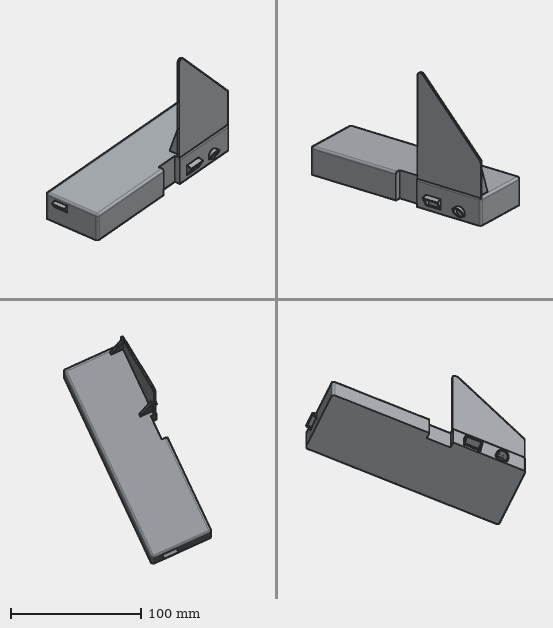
import cadquery as cq
import math

OVERALL_X = 55.5
OVERALL_Y = 166.5
OVERALL_Z = 113.5

SIDE_HOOD_REACH = 4.5
FRONT_HOOD_REACH = 3.5
BODY_X = OVERALL_X - SIDE_HOOD_REACH
BODY_Y = OVERALL_Y - FRONT_HOOD_REACH
BODY_Z = 24.0
EDGE_RADIUS = 2.0

NOTCH_DEPTH = 4.8
NOTCH_LENGTH = 20.0
BACK_TO_NOTCH = 61.2
NOTCH_BACK = BODY_Y - BACK_TO_NOTCH
NOTCH_FRONT = NOTCH_BACK - NOTCH_LENGTH

PLATE_THICKNESS = 1.7
PLATE_INSET = 0.7
PLATE_OUTER_X = BODY_X - PLATE_INSET
PLATE_INNER_X = PLATE_OUTER_X - PLATE_THICKNESS
PLATE_FRONT = NOTCH_BACK
PLATE_BACK = BODY_Y - PLATE_INSET
PLATE_CORNER_RADIUS = 3.0
PLATE_SLOPE = math.radians(46.5)
RIB_THICKNESS = 2.2
RIB_BASE = 10.2
RIB_TOP = 53.6
FRONT_RIB_INSET = 3.0
BACK_RIB_INSET = 2.0
SINK = EDGE_RADIUS

HOOD_WALL = 1.0
POCKET_DEPTH = 2.0
TIP_DROP = 1.2

FRONT_HOOD_LEFT = 9.0
FRONT_HOOD_WIDTH = 12.3
FRONT_HOOD_RIGHT = FRONT_HOOD_LEFT + FRONT_HOOD_WIDTH
FRONT_HOOD_BOTTOM = 14.0
FRONT_HOOD_TOP = 20.1

BACK_TO_SIDE_HOOD = 38.1
SIDE_HOOD_BACK = BODY_Y - BACK_TO_SIDE_HOOD
SIDE_HOOD_WIDTH = 14.3
SIDE_HOOD_FRONT = SIDE_HOOD_BACK - SIDE_HOOD_WIDTH
SIDE_HOOD_BOTTOM = 3.7
SIDE_HOOD_TOP = 12.6

ROUND_HOLE_DIAMETER = 8.3
ROUND_HOOD_RADIUS = ROUND_HOLE_DIAMETER / 2 + HOOD_WALL
BACK_TO_ROUND_HOOD = 20.5
ROUND_HOOD_Y = BODY_Y - BACK_TO_ROUND_HOOD
ROUND_HOOD_Z = SIDE_HOOD_TOP - TIP_DROP - ROUND_HOOD_RADIUS


def block(x0, x1, y0, y1, z0, z1):
    """Box between two opposite corners."""
    return cq.Workplane("XY").box(x1 - x0, y1 - y0, z1 - z0, centered=False).translate((x0, y0, z0))


def make_body():
    body = block(0, BODY_X, 0, BODY_Y, 0, BODY_Z)
    body = body.edges("|Z or >Z").fillet(EDGE_RADIUS)
    notch = block(BODY_X - NOTCH_DEPTH, BODY_X, NOTCH_FRONT, NOTCH_BACK, 0, BODY_Z)
    return body.cut(notch)


def make_plate():
    circle_y = PLATE_FRONT + PLATE_CORNER_RADIUS
    circle_z = OVERALL_Z - PLATE_CORNER_RADIUS
    slope_z = circle_z + PLATE_CORNER_RADIUS / math.cos(PLATE_SLOPE)
    front_z = slope_z + PLATE_CORNER_RADIUS * math.tan(PLATE_SLOPE)
    back_z = slope_z - (PLATE_BACK - circle_y) * math.tan(PLATE_SLOPE)
    base_z = BODY_Z - SINK
    outline = [
        (PLATE_FRONT, base_z),
        (PLATE_BACK, base_z),
        (PLATE_BACK, back_z),
        (PLATE_FRONT, front_z),
    ]
    plate = cq.Workplane("YZ", origin=(PLATE_INNER_X, 0, 0)).polyline(outline).close().extrude(PLATE_THICKNESS)
    upper_corners = cq.selectors.BoxSelector(
        (0, 0, BODY_Z), (BODY_X, BODY_Y, front_z + PLATE_CORNER_RADIUS)
    )
    return plate.edges("|X").edges(upper_corners).fillet(PLATE_CORNER_RADIUS)


def make_rib(front_y):
    foot_x = PLATE_INNER_X - RIB_BASE
    outline = [
        (foot_x, BODY_Z - SINK),
        (PLATE_INNER_X, BODY_Z - SINK),
        (PLATE_INNER_X, RIB_TOP),
        (foot_x, BODY_Z),
    ]
    rib = cq.Workplane("XZ").polyline(outline).close().extrude(-RIB_THICKNESS)
    return rib.translate((0, front_y, 0))


def hood_outline(face, reach, bottom, top):
    """Wedge outline; reach is signed and points away from the wall face."""
    return [(face, bottom), (face + reach, top - TIP_DROP), (face, top)]


def opening_top(hood_top):
    """Height of the opening's upper edge, one wall below the hood tip."""
    return hood_top - TIP_DROP - HOOD_WALL


def make_front_hood():
    outline = hood_outline(0, -FRONT_HOOD_REACH, FRONT_HOOD_BOTTOM, FRONT_HOOD_TOP)
    plane = cq.Workplane("YZ", origin=(FRONT_HOOD_LEFT, 0, 0))
    return plane.polyline(outline).close().extrude(FRONT_HOOD_WIDTH)


def make_front_opening():
    return block(
        FRONT_HOOD_LEFT + HOOD_WALL, FRONT_HOOD_RIGHT - HOOD_WALL,
        -FRONT_HOOD_REACH, POCKET_DEPTH,
        FRONT_HOOD_BOTTOM, opening_top(FRONT_HOOD_TOP),
    )


def make_side_wedge(front_y, width):
    outline = hood_outline(BODY_X, SIDE_HOOD_REACH, SIDE_HOOD_BOTTOM, SIDE_HOOD_TOP)
    plane = cq.Workplane("XZ", origin=(0, front_y, 0))
    return plane.polyline(outline).close().extrude(-width)


def make_side_opening():
    return block(
        BODY_X - POCKET_DEPTH, OVERALL_X,
        SIDE_HOOD_FRONT + HOOD_WALL, SIDE_HOOD_BACK - HOOD_WALL,
        SIDE_HOOD_BOTTOM, opening_top(SIDE_HOOD_TOP),
    )


def make_round_bar(radius, start_x):
    plane = cq.Workplane("YZ", origin=(start_x, ROUND_HOOD_Y, ROUND_HOOD_Z))
    return plane.circle(radius).extrude(OVERALL_X - start_x)


def make_round_hood():
    wedge = make_side_wedge(ROUND_HOOD_Y - ROUND_HOOD_RADIUS, 2 * ROUND_HOOD_RADIUS)
    return make_round_bar(ROUND_HOOD_RADIUS, BODY_X).intersect(wedge)


result = make_body().union(make_plate())
for rib_front in (PLATE_FRONT + FRONT_RIB_INSET, PLATE_BACK - BACK_RIB_INSET - RIB_THICKNESS):
    result = result.union(make_rib(rib_front))

result = result.union(make_front_hood())
result = result.union(make_side_wedge(SIDE_HOOD_FRONT, SIDE_HOOD_WIDTH))
result = result.union(make_round_hood())

result = result.cut(make_front_opening())
result = result.cut(make_side_opening())
result = result.cut(make_round_bar(ROUND_HOLE_DIAMETER / 2, BODY_X - POCKET_DEPTH))